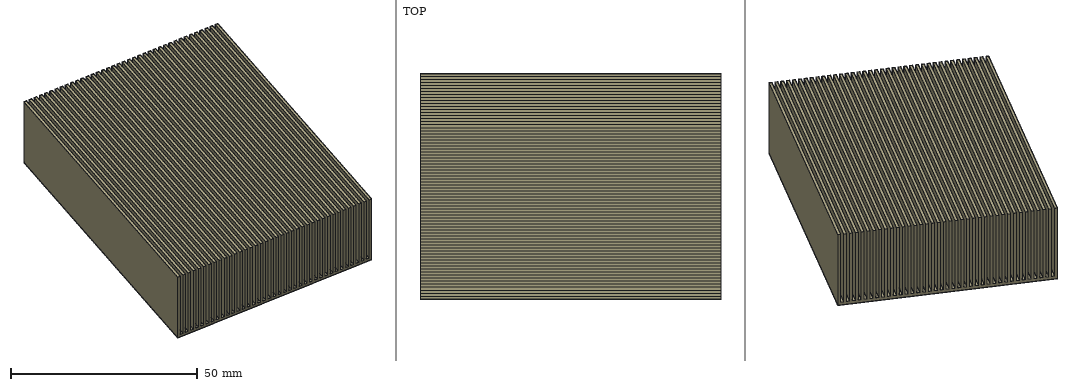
import cadquery as cq

length = 80.7
width = 60.5
height = 22.2

fin_count = 38
fin_thickness = 0.8
base_thickness = 1.0
fin_height = height - base_thickness
fin_pitch = (width - fin_thickness) / (fin_count - 1)


def make_base():
    return cq.Workplane("XY").box(length, width, base_thickness, centered=(True, True, False))


def make_fins():
    """Evenly spaced fins running the full length in X."""
    return (
        cq.Workplane("XY")
        .workplane(offset=base_thickness)
        .rarray(length, fin_pitch, 1, fin_count)
        .rect(length, fin_thickness)
        .extrude(fin_height)
    )


result = make_base().union(make_fins())